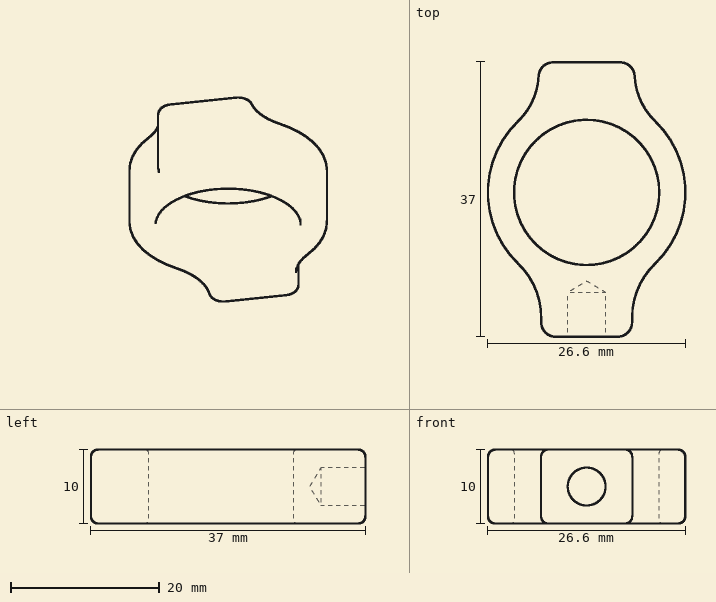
import cadquery as cq
import math

length = 37.0
thickness = 10.0
ring_radius = 13.32
bore_radius = 9.75

front_reach = 19.45
back_reach = length - front_reach
front_half_width = 6.15
back_half_width = 6.48

front_neck_radius = 10.0
back_neck_radius = 9.0

corner_radius = 2.0
edge_radius = 1.0
bore_edge_radius = 0.5

drill_radius = 2.55
drill_depth = 6.0
drill_point_angle = 118.0


def neck_points(half_width, neck_radius):
    """Return the arc's join with the ring, its middle and its narrowest point, for +X +Y."""
    center_x = half_width + neck_radius
    center_distance = ring_radius + neck_radius
    join_angle = math.acos(center_x / center_distance)
    center_y = center_distance * math.sin(join_angle)
    join = (ring_radius * math.cos(join_angle), ring_radius * math.sin(join_angle))
    middle_angle = join_angle / 2
    middle = (
        center_x - neck_radius * math.cos(middle_angle),
        center_y - neck_radius * math.sin(middle_angle),
    )
    return join, middle, (half_width, center_y)


def make_tab(reach, half_width, neck_radius, direction):
    """Build a tab with necks tangent to the ring; direction is +1 for +Y, -1 for -Y."""
    join, middle, narrowest = neck_points(half_width, neck_radius)

    def right(point):
        return (point[0], direction * point[1])

    def left(point):
        return (-point[0], direction * point[1])

    past_narrowest = reach - narrowest[1]
    if past_narrowest < corner_radius:
        flare = neck_radius - math.sqrt(neck_radius**2 - past_narrowest**2)
        end = (half_width + flare, reach)
        outline = cq.Workplane("XY").moveTo(*right(join)).threePointArc(right(middle), right(end))
        outline = outline.lineTo(*left(end))
        outline = outline.threePointArc(left(middle), left(join))
    else:
        end = (half_width, reach)
        outline = cq.Workplane("XY").moveTo(*right(join)).threePointArc(right(middle), right(narrowest))
        outline = outline.lineTo(*right(end)).lineTo(*left(end)).lineTo(*left(narrowest))
        outline = outline.threePointArc(left(middle), left(join))
    tab = outline.lineTo(0, 0).close().extrude(thickness)
    end_face = ">Y" if direction > 0 else "<Y"
    return tab.faces(end_face).edges("|Z").fillet(corner_radius)


def make_drill():
    """Build the drill shape: a cylinder with a conical point, entering along +Y."""
    point_length = drill_radius / math.tan(math.radians(drill_point_angle / 2))
    return (
        cq.Workplane("XY")
        .polyline([
            (0, -front_reach),
            (drill_radius, -front_reach),
            (drill_radius, -front_reach + drill_depth),
            (0, -front_reach + drill_depth + point_length),
        ])
        .close()
        .revolve(360, (0, 0, 0), (0, 1, 0))
        .translate((0, 0, thickness / 2))
    )


body = cq.Workplane("XY").circle(ring_radius).extrude(thickness)
body = body.union(make_tab(front_reach, front_half_width, front_neck_radius, -1))
body = body.union(make_tab(back_reach, back_half_width, back_neck_radius, 1)).clean()
body = body.faces("<Z or >Z").edges().fillet(edge_radius)

body = body.cut(cq.Workplane("XY").circle(bore_radius).extrude(thickness))
inside_ring = cq.selectors.BoxSelector(
    (-bore_radius, -bore_radius, -thickness),
    (bore_radius, bore_radius, 2 * thickness),
)
body = body.faces("<Z or >Z").edges(inside_ring).fillet(bore_edge_radius)

body_shift = (0, front_reach - length / 2, -thickness / 2)
result = body.cut(make_drill()).translate(body_shift)